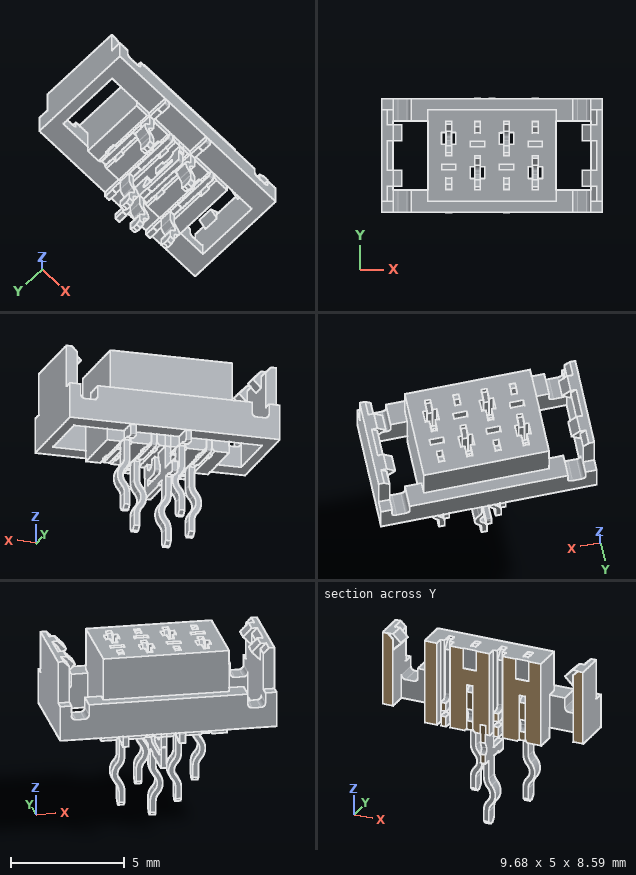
import cadquery as cq
import math

OVERCUT = 0.1

LENGTH = 9.68
WIDTH = 4.995
RAIL_HEIGHT = 1.6
TOWER_LENGTH = 5.62
TOWER_WIDTH = 4.0
TOWER_TOP = 3.5
BLOCK_WIDTH = 3.02
BLOCK_BOTTOM = -0.5
PLATE_THICKNESS = 0.5
PLATE_INNER_X = LENGTH / 2 - PLATE_THICKNESS
PLATE_CHAMFER = 0.25
HOOK_REACH = 0.39
HOOK_WIDTH = 0.72
HOOK_Y = 1.0
RELIEF_WIDTH = 0.78
RELIEF_FLOOR = 0.94
RELIEF_RADIUS = 0.19

PITCH = 1.27
CONTACT_XS = [(i - 1.5) * PITCH for i in range(4)]
THICKNESS = 0.25
SLOT_END_Y = 1.5
LOOSE_DROP = 1.5

BAR_BOTTOM = BLOCK_BOTTOM
CONTACT_SPAN = 5.0
BAR_END_Y = CONTACT_SPAN / 2
BAR_CORNER = 0.06
FOOT_HEIGHT = 0.08
FOOT_GAP = 1.55

TAIL_Y = PITCH
TAIL_WIDTH = 0.57
TAIL_BOTTOM = -3.59
TAIL_TIP_CHAMFER = 0.18
BEND_RADIUS = 0.59
BEND_OFFSET = 0.31
BEND_CENTER_Z = -2.07

FORK_TOP = 3.44
FORK_Y = -SLOT_END_Y / 2
FORK_WIDTH = 1.48
FORK_GAP = 0.63
FORK_UNDERSIDE = 0.24
FORK_FLOOR = 0.66
FORK_CORNER = 0.21
FORK_INNER_CORNER = 0.23
FORK_SHOULDER_Z = 0.52
FORK_UNDERCUT = 0.05
FORK_TAPER_Z = 1.06
FUNNEL_WIDTH = 1.26
FUNNEL_DEPTH = 0.39
STEM_INNER_Y = -1.03

POST_OUTER_Y = 1.49
POST_TIP_Y = 1.27
POST_NECK_Y = 1.01
POST_WAIST_Y = 0.74
POST_ROOT_Y = 0.52
POST_WAIST_Z = 0.32
POST_ROOT_Z = 0.78
POST_ROOT_TOP = 1.36
POST_NECK_Z = 1.74
POST_TIP_Z = 2.71

POST_SLOT_LENGTH = 0.5
WINDOW_LENGTH = 0.62
WINDOW_WIDTH = 0.5
POCKET_WIDTH = 0.25
POCKET_Y = 0.5
POCKET_DEPTH = 0.97
MOUTH_CHAMFER = 0.13


def block(x_range, y_range, z_range):
    """Axis-aligned box between the given limits."""
    (x0, x1), (y0, y1), (z0, z1) = x_range, y_range, z_range
    return cq.Workplane("XY").box(x1 - x0, y1 - y0, z1 - z0, centered=False).translate((x0, y0, z0))


def both_ends(shape):
    """The shape and its mirror image at the other end of the housing."""
    return shape.union(shape.mirror("YZ"))


def rounded(plate, y, z, radius):
    """The sheet-metal shape with its corner at (y, z) rounded."""
    corner = cq.selectors.NearestToPointSelector((0, y, z))
    return plate.edges("|X").edges(corner).fillet(radius)


def fork():
    """U-shaped fork on the inner end of the bar, open at the top with a funnel mouth."""
    inner = FORK_GAP / 2
    outer = FORK_WIDTH / 2
    mouth = FUNNEL_WIDTH / 2
    outline = (
        cq.Workplane("YZ")
        .moveTo(-outer + FORK_UNDERCUT, BAR_BOTTOM)
        .lineTo(-outer + FORK_UNDERCUT, FORK_SHOULDER_Z - FORK_UNDERCUT)
        .lineTo(-outer, FORK_SHOULDER_Z)
        .lineTo(-outer, FORK_TAPER_Z)
        .lineTo(-mouth, FORK_TOP)
        .lineTo(-inner, FORK_TOP - FUNNEL_DEPTH)
        .lineTo(-inner, FORK_FLOOR)
        .lineTo(inner, FORK_FLOOR)
        .lineTo(inner, FORK_TOP - FUNNEL_DEPTH)
        .lineTo(mouth, FORK_TOP)
        .lineTo(outer, FORK_TAPER_Z)
        .lineTo(outer, FORK_UNDERSIDE)
        .lineTo(STEM_INNER_Y - FORK_Y, FORK_UNDERSIDE)
        .lineTo(STEM_INNER_Y - FORK_Y, BAR_BOTTOM)
        .close()
        .extrude(THICKNESS / 2, both=True)
    )
    outline = rounded(outline, -inner, FORK_FLOOR, FORK_INNER_CORNER)
    outline = rounded(outline, inner, FORK_FLOOR, FORK_INNER_CORNER)
    outline = rounded(outline, outer, FORK_UNDERSIDE, FORK_CORNER)
    outline = rounded(outline, -outer + FORK_UNDERCUT, BAR_BOTTOM, BAR_CORNER)
    return outline.translate((0, FORK_Y, 0))


def post():
    """Waisted retention post over the tail, running smoothly into the bar, with a tapered tip."""
    return (
        cq.Workplane("YZ")
        .moveTo(STEM_INNER_Y, BAR_BOTTOM + FOOT_HEIGHT)
        .lineTo(STEM_INNER_Y, 0)
        .lineTo(POST_ROOT_Y, 0)
        .tangentArcPoint((POST_WAIST_Y, POST_WAIST_Z), relative=False)
        .lineTo(POST_ROOT_Y, POST_ROOT_Z)
        .lineTo(POST_ROOT_Y, POST_ROOT_TOP)
        .lineTo(POST_NECK_Y, POST_NECK_Z)
        .lineTo(POST_NECK_Y, POST_TIP_Z)
        .lineTo(POST_TIP_Y, TOWER_TOP)
        .lineTo(POST_OUTER_Y, TOWER_TOP)
        .lineTo(POST_OUTER_Y, BAR_BOTTOM + FOOT_HEIGHT)
        .close()
        .extrude(THICKNESS / 2, both=True)
    )


def bar():
    """Horizontal bar under the housing, cut up around the tail."""
    beam = block((-THICKNESS / 2, THICKNESS / 2), (STEM_INNER_Y, BAR_END_Y), (BAR_BOTTOM, 0))
    beam = beam.edges("|X and >Y").fillet(BAR_CORNER)
    foot_gap = block(
        (-THICKNESS, THICKNESS),
        (TAIL_Y - FOOT_GAP / 2, TAIL_Y + FOOT_GAP / 2),
        (BAR_BOTTOM - OVERCUT, BAR_BOTTOM + FOOT_HEIGHT),
    )
    return beam.cut(foot_gap)


def tail():
    """Solder tail with a smooth bulge toward +X and a chamfered tip."""
    angle = math.acos(1 - BEND_OFFSET / (2 * BEND_RADIUS))
    rise = BEND_RADIUS * math.sin(angle)
    half_rise = BEND_RADIUS * math.sin(angle / 2)
    half_shift = BEND_RADIUS * (1 - math.cos(angle / 2))
    center_line = (
        cq.Workplane("XZ")
        .moveTo(0, BAR_BOTTOM + FOOT_HEIGHT)
        .lineTo(0, BEND_CENTER_Z + 2 * rise)
        .threePointArc(
            (half_shift, BEND_CENTER_Z + 2 * rise - half_rise),
            (BEND_OFFSET / 2, BEND_CENTER_Z + rise),
        )
        .threePointArc((BEND_OFFSET, BEND_CENTER_Z), (BEND_OFFSET / 2, BEND_CENTER_Z - rise))
        .threePointArc(
            (half_shift, BEND_CENTER_Z - 2 * rise + half_rise),
            (0, BEND_CENTER_Z - 2 * rise),
        )
        .lineTo(0, TAIL_BOTTOM)
    )
    strip = (
        cq.Workplane("XY", origin=(0, 0, BAR_BOTTOM + FOOT_HEIGHT))
        .rect(THICKNESS, TAIL_WIDTH)
        .sweep(center_line)
    )
    return strip.edges("|X and <Z").chamfer(TAIL_TIP_CHAMFER).translate((0, TAIL_Y, 0))


def make_contact():
    """Contact with its tail on +Y and its fork on -Y."""
    return bar().union(tail()).union(fork()).union(post())


def turned(shape, index):
    """Every other contact, starting with the first, is turned half a revolution."""
    return shape.rotate((0, 0, 0), (0, 0, 1), 180 if index % 2 == 0 else 0)


def frame():
    """Rails and low end walls around two open windows."""
    body = block((-LENGTH / 2, LENGTH / 2), (-WIDTH / 2, WIDTH / 2), (0, RAIL_HEIGHT))
    opening = block(
        (TOWER_LENGTH / 2, PLATE_INNER_X),
        (-BLOCK_WIDTH / 2, BLOCK_WIDTH / 2),
        (-OVERCUT, RAIL_HEIGHT + OVERCUT),
    )
    relief = (
        block(
            (PLATE_INNER_X - RELIEF_WIDTH, PLATE_INNER_X),
            (-WIDTH / 2 - OVERCUT, WIDTH / 2 + OVERCUT),
            (RELIEF_FLOOR, RAIL_HEIGHT + OVERCUT),
        )
        .edges("|Y and <Z")
        .fillet(RELIEF_RADIUS)
    )
    return body.cut(both_ends(opening)).cut(both_ends(relief))


def tower():
    """Raised tower and the narrower block beneath it."""
    half_length = (-TOWER_LENGTH / 2, TOWER_LENGTH / 2)
    upper = block(half_length, (-TOWER_WIDTH / 2, TOWER_WIDTH / 2), (0, TOWER_TOP))
    lower = block(half_length, (-BLOCK_WIDTH / 2, BLOCK_WIDTH / 2), (BLOCK_BOTTOM, 0))
    return upper.union(lower)


def latch_plate():
    """Upright plate at the +X end with two latching hooks on its inner face."""
    plate = (
        block((PLATE_INNER_X, LENGTH / 2), (-TOWER_WIDTH / 2, TOWER_WIDTH / 2), (0, TOWER_TOP))
        .edges("|Y and >Z and <X")
        .chamfer(PLATE_CHAMFER)
    )
    for y in (-HOOK_Y, HOOK_Y):
        hook = (
            cq.Workplane("XZ")
            .moveTo(PLATE_INNER_X + PLATE_CHAMFER, TOWER_TOP)
            .lineTo(PLATE_INNER_X, TOWER_TOP)
            .lineTo(PLATE_INNER_X - HOOK_REACH, TOWER_TOP - HOOK_REACH)
            .lineTo(PLATE_INNER_X, TOWER_TOP - 2 * HOOK_REACH)
            .lineTo(PLATE_INNER_X + PLATE_CHAMFER, TOWER_TOP - 2 * HOOK_REACH)
            .close()
            .extrude(HOOK_WIDTH / 2, both=True)
            .translate((0, y, 0))
        )
        plate = plate.union(hook)
    return plate


def contact_openings():
    """Everything cut from the housing for one contact with its fork on -Y."""
    half_slot = (-THICKNESS / 2, THICKNESS / 2)
    half_window = (-WINDOW_LENGTH / 2, WINDOW_LENGTH / 2)
    through = (BLOCK_BOTTOM - OVERCUT, TOWER_TOP + OVERCUT)
    fork_slot = block(half_slot, (-SLOT_END_Y, 0), through)
    post_slot = block(half_slot, (SLOT_END_Y - POST_SLOT_LENGTH, SLOT_END_Y), through)
    root_slot = block(half_slot, (POST_ROOT_Y, SLOT_END_Y), (BLOCK_BOTTOM - OVERCUT, POST_NECK_Z))
    bar_slot = block(half_slot, (-BLOCK_WIDTH / 2, BLOCK_WIDTH / 2), (BLOCK_BOTTOM - OVERCUT, 0))
    window_y = (FORK_Y - WINDOW_WIDTH / 2, FORK_Y + WINDOW_WIDTH / 2)
    window = block(half_window, window_y, through)
    pocket_y = (POCKET_Y - POCKET_WIDTH / 2, POCKET_Y + POCKET_WIDTH / 2)
    pocket = block(half_window, pocket_y, (TOWER_TOP - POCKET_DEPTH, TOWER_TOP + OVERCUT))
    mouth_half = THICKNESS / 2 + MOUTH_CHAMFER
    mouth = (
        cq.Workplane("XZ")
        .polyline(
            [
                (-mouth_half, BLOCK_BOTTOM),
                (mouth_half, BLOCK_BOTTOM),
                (THICKNESS / 2, BLOCK_BOTTOM + MOUTH_CHAMFER),
                (-THICKNESS / 2, BLOCK_BOTTOM + MOUTH_CHAMFER),
            ]
        )
        .close()
        .extrude(BLOCK_WIDTH / 2, both=True)
    )
    cutter = fork_slot
    for part in (post_slot, root_slot, bar_slot, window, pocket, mouth):
        cutter = cutter.union(part)
    return cutter


def make_housing(loose_contact):
    """Housing with openings for the row contacts and a recess that fits the loose one."""
    body = frame().union(tower()).union(both_ends(latch_plate()))
    openings = contact_openings()
    for index, x in enumerate(CONTACT_XS):
        body = body.cut(turned(openings, index).translate((x, 0, 0)))
    return body.cut(loose_contact)


contact = make_contact()
row_contacts = [turned(contact, i).translate((x, 0, 0)) for i, x in enumerate(CONTACT_XS)]
loose_contact = contact.translate((0, 0, -LOOSE_DROP))
housing = make_housing(loose_contact)

result = cq.Compound.makeCompound(
    [housing.val(), *[c.val() for c in row_contacts], loose_contact.val()]
)